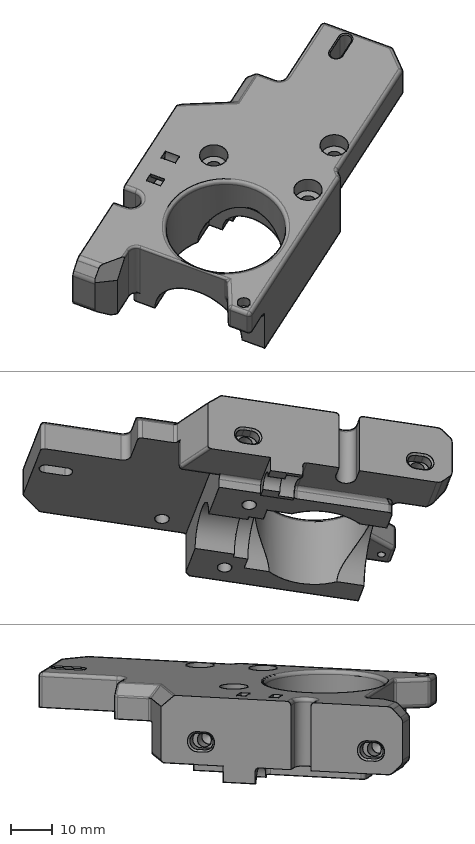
import cadquery as cq
import math

WIDTH = 45.0
LENGTH = 96.1
TOP = 20.5

PLATE_FLOOR = TOP - 8.5
WING_FLOOR = TOP - 7.4
WALL_FLOOR = TOP - 16.5
BLOCK_FLOOR = 0.6

WALL_WIDTH = 9.9
WALL_BACK_LEFT = 60.0
WALL_BACK_RIGHT = 65.5
SHELF_BACK = 74.6
TONGUE_LEFT = 19.4
TONGUE_RIGHT = 43.4
TONGUE_CORNER = 5.4
STEP_BACK = 55.2
STEP_FRONT = STEP_BACK - (WIDTH - TONGUE_RIGHT)
FRONT = 12.2
LEG_TIP_WIDTH = 5.9
LEG_CORNER = WALL_WIDTH - LEG_TIP_WIDTH
INNER_CORNER_RADIUS = 2.0

WING_FRONT = 4.4
WING_ROOT = 35.0
WING_TIP = 39.1

EDGE_RADIUS = 1.0
SMALL_EDGE_RADIUS = 0.6
LEG_CHAMFER = 3.0
REAR_CHAMFER = 2.9
REAR_CHAMFER_ANGLE = 45
VALLEY_RADIUS = 1.0
REAR_FOOT_RADIUS = 0.8
LEG_EDGE_RADIUS = 1.9
LEG_BEVEL_BACK_LEFT = 3.1
LEG_BEVEL_BACK_RIGHT = 8.3
LEG_BEVEL_ANGLE = 60

BLOCK_BACK = 54.8
BORE_X = 27.4
BORE_Y = 27.2
BORE_RADIUS = 14.2
SHAFT_BORES = [(11.5, 41.6), (8.0, 45.2), (6.9, BLOCK_BACK)]

ROD_TAB_FRONT = 36.6
ROD_TAB_BACK = 44.6
ROD_X = WALL_WIDTH / 2
ROD_RADIUS = 2.6
ROD_SEAT_RADIUS = 4.1
ROD_SEAT_DEPTH = 3.8

SCREW_CENTERS = [(14.9, 46.2), (39.9, 46.2), (39.3, 61.7)]
SCREW_RADIUS = 1.7
SCREW_HEAD_RADIUS = 3.4
SCREW_HEAD_DEPTH = 4.1
WING_HOLE_CENTER = (41.8, 7.3)
WING_HOLE_RADIUS = 1.0
WING_HOLE_HEAD_RADIUS = 1.5
WING_HOLE_HEAD_DEPTH = 2.9

SLOT_X = 26.9
SLOT_Y = 90.7
SLOT_LENGTH = 8.1
SLOT_WIDTH = 3.0
SLOT_CHAMFER = 0.3

NOTCH_Y = 25.3
NOTCH_RADIUS = 2.5
NOTCH_CENTER_X = 3.1

TIE_X = 3.9
TIE_WIDTH = 3.75
TIE_Y = 37.2
TIE_OUTER_RADIUS = 5.2
TIE_INNER_RADIUS = 2.9

SIDE_HOLE_YS = [7.9, 50.1]
SIDE_HOLE_Z = TOP - 11.0
SIDE_SLOT_LENGTH = 5.8
SIDE_SLOT_WIDTH = 3.9
SIDE_SLOT_DEPTH = 2.9
SIDE_SLOT_CHAMFER = 0.5
SIDE_HOLE_RADIUS = 1.7
SIDE_HOLE_DEPTH = 6.7
SIDE_HOLE_TIP = 1.0


def prism(points, bottom, top):
    """Extrude a closed outline between two heights."""
    return cq.Workplane("XY").workplane(offset=bottom).polyline(points).close().extrude(top - bottom)


def box(x0, x1, y0, y1, z0, z1):
    """Box between the given limits."""
    return cq.Workplane("XY").box(x1 - x0, y1 - y0, z1 - z0, centered=False).translate((x0, y0, z0))


def vertical_cylinder(x, y, radius, bottom, top):
    solid = cq.Solid.makeCylinder(radius, top - bottom, cq.Vector(x, y, bottom), cq.Vector(0, 0, 1))
    return cq.Workplane(solid)


def lengthwise_cylinder(x, z, radius, front, back):
    solid = cq.Solid.makeCylinder(radius, back - front, cq.Vector(x, front, z), cq.Vector(0, 1, 0))
    return cq.Workplane(solid)


def near(*points):
    """Select the edges whose middles lie closest to the given points."""
    selector = cq.selectors.NearestToPointSelector(points[0])
    for point in points[1:]:
        selector = selector + cq.selectors.NearestToPointSelector(point)
    return selector


def above_slope(start, end, angle):
    """Wedge above a plane that falls away to the right of a line on the top face."""
    reach = 19.2
    overrun = 28.8
    along_x = end[0] - start[0]
    along_y = end[1] - start[1]
    plane = cq.Plane(
        origin=(end[0], end[1], TOP),
        xDir=(along_y, -along_x, 0),
        normal=(-along_x, -along_y, 0),
    )
    drop = reach * math.tan(math.radians(angle))
    corners = [(0, 0), (reach, -drop), (reach, 1), (0, 1)]
    profile = cq.Workplane(plane).workplane(offset=-overrun)
    return profile.polyline(corners).close().extrude(math.hypot(along_x, along_y) + 2 * overrun)




def plate_outline(bottom):
    """Outline of the plate without leg and wing, extruded from a height to the top."""
    outline = [
        (0, FRONT),
        (WIDTH, FRONT),
        (WIDTH, STEP_FRONT),
        (TONGUE_RIGHT, STEP_BACK),
        (TONGUE_RIGHT, LENGTH - TONGUE_CORNER),
        (TONGUE_RIGHT - TONGUE_CORNER, LENGTH),
        (TONGUE_LEFT, LENGTH),
        (TONGUE_LEFT, SHELF_BACK),
        (WALL_WIDTH, SHELF_BACK),
        (WALL_WIDTH, WALL_BACK_RIGHT),
        (0, WALL_BACK_LEFT),
    ]
    middle = (bottom + TOP) / 2
    shelf_corner = near((TONGUE_LEFT, SHELF_BACK, middle))
    rounded_corners = near(*[(x, y, middle) for x, y in outline[2:7] + outline[8:9]])
    plate = prism(outline, bottom, TOP)
    plate = plate.edges(shelf_corner).fillet(INNER_CORNER_RADIUS)
    return plate.edges(rounded_corners).fillet(EDGE_RADIUS)


def left_wall():
    """Deep wall along the left face, with the leg at its front end."""
    outline = [
        (0, 0),
        (LEG_TIP_WIDTH, 0),
        (WALL_WIDTH, LEG_CORNER),
        (WALL_WIDTH, WALL_BACK_RIGHT),
        (0, WALL_BACK_LEFT),
    ]
    wall = prism(outline, WALL_FLOOR, TOP)
    back_corner = near((WALL_WIDTH, WALL_BACK_RIGHT, (WALL_FLOOR + TOP) / 2))
    return wall.edges(back_corner).fillet(EDGE_RADIUS)


def motor_block():
    """Deep block around the large bore, following the plate on its right side."""
    block = box(WALL_WIDTH, WIDTH, FRONT, BLOCK_BACK, BLOCK_FLOOR, TOP)
    return block.intersect(plate_outline(BLOCK_FLOOR))


def wing():
    """Thin ear at the front right."""
    outline = [(WING_ROOT, FRONT), (WING_TIP, WING_FRONT), (WIDTH, WING_FRONT), (WIDTH, FRONT)]
    return prism(outline, WING_FLOOR, TOP)


def round_upper_edges(body):
    """Round the leg's inner corner, the wing and the rim of the top face."""
    middle = (WING_FLOOR + TOP) / 2
    wing_middle_x = (WING_TIP + WIDTH) / 2
    leg_corner = near((WALL_WIDTH, FRONT, middle))
    wing_corners = near((WING_TIP, WING_FRONT, middle), (WIDTH, WING_FRONT, middle))
    wing_bottom = near((wing_middle_x, WING_FRONT, WING_FLOOR))
    wing_root = near((WING_ROOT, FRONT, middle), (wing_middle_x, FRONT, WING_FLOOR))
    front_rim = near((BORE_X, FRONT, TOP))
    back_rim = near(((TONGUE_LEFT + TONGUE_RIGHT) / 2, LENGTH, TOP))

    body = body.edges(leg_corner).fillet(INNER_CORNER_RADIUS)
    body = body.edges(wing_corners).fillet(EDGE_RADIUS)
    body = body.edges(wing_bottom).fillet(EDGE_RADIUS)
    body = body.edges(front_rim).fillet(SMALL_EDGE_RADIUS)
    body = body.edges(back_rim).fillet(EDGE_RADIUS)
    return body.edges(wing_root).fillet(EDGE_RADIUS)


def chamfer_rear(body):
    """Slope the top of the wall's slanted end and of the shelf behind it, with a rounded valley."""
    rise = WALL_BACK_RIGHT - WALL_BACK_LEFT
    shift = REAR_CHAMFER * math.hypot(WALL_WIDTH, rise) / WALL_WIDTH
    shelf_x = WALL_WIDTH + REAR_CHAMFER
    corner_y = WALL_BACK_RIGHT - shift + REAR_CHAMFER * rise / WALL_WIDTH
    wall_slope = above_slope(
        (WALL_WIDTH, WALL_BACK_RIGHT - shift),
        (0, WALL_BACK_LEFT - shift),
        REAR_CHAMFER_ANGLE,
    )
    shelf_slope = above_slope((shelf_x, SHELF_BACK), (shelf_x, WALL_BACK_RIGHT), REAR_CHAMFER_ANGLE)
    body = body.cut(wall_slope.intersect(shelf_slope))
    valley = near(
        (WALL_WIDTH, WALL_BACK_RIGHT, (PLATE_FLOOR + TOP - REAR_CHAMFER) / 2),
        ((WALL_WIDTH + shelf_x) / 2, (WALL_BACK_RIGHT + corner_y) / 2, TOP - REAR_CHAMFER / 2),
    )
    crests = near(
        (shelf_x, (corner_y + SHELF_BACK) / 2, TOP),
        (shelf_x / 2, (WALL_BACK_LEFT - shift + corner_y) / 2, TOP),
    )
    body = body.edges(crests).fillet(SMALL_EDGE_RADIUS)
    return body.edges(valley).fillet(VALLEY_RADIUS)


def shape_leg(body):
    """Chamfer and round the leg's nose, then bevel the top of its slanted corner."""
    nose = box(0, WALL_WIDTH, 0, LENGTH, WALL_FLOOR, TOP)
    nose = nose.edges("<Y and |X").chamfer(LEG_CHAMFER)
    bends = near(
        (ROD_X, 0, TOP - LEG_CHAMFER),
        (ROD_X, LEG_CHAMFER, TOP),
        (ROD_X, 0, WALL_FLOOR + LEG_CHAMFER),
        (ROD_X, LEG_CHAMFER, WALL_FLOOR),
    )
    nose = nose.edges(bends).fillet(LEG_EDGE_RADIUS)
    leg_space = box(0, WALL_WIDTH, 0, LEG_BEVEL_BACK_RIGHT, WALL_FLOOR, TOP)
    bevel = above_slope(
        (LEG_TIP_WIDTH, LEG_BEVEL_BACK_LEFT),
        (WALL_WIDTH, LEG_BEVEL_BACK_RIGHT),
        LEG_BEVEL_ANGLE,
    )
    return body.cut(leg_space.cut(nose)).cut(bevel.intersect(leg_space))


def add_rod_tab(body):
    """Add the tab below the wall and round the edges around the underside."""
    body = body.union(box(0, WALL_WIDTH, ROD_TAB_FRONT, ROD_TAB_BACK, 0, WALL_FLOOR))
    block_middle = (BLOCK_FLOOR + WALL_FLOOR) / 2
    inner_front_edges = near(
        (WALL_WIDTH, ROD_TAB_FRONT, block_middle),
        (WALL_WIDTH, (FRONT + ROD_TAB_FRONT) / 2, WALL_FLOOR),
        (ROD_X, ROD_TAB_FRONT, WALL_FLOOR),
    )
    inner_back_edge = near((WALL_WIDTH, (ROD_TAB_BACK + BLOCK_BACK) / 2, WALL_FLOOR))
    block_corner = near((WALL_WIDTH, FRONT, block_middle))
    wall_end = near((ROD_X, (WALL_BACK_LEFT + WALL_BACK_RIGHT) / 2, WALL_FLOOR))
    body = body.edges(inner_front_edges).fillet(EDGE_RADIUS)
    body = body.edges(inner_back_edge).fillet(EDGE_RADIUS)
    body = body.edges(block_corner).fillet(EDGE_RADIUS)
    return body.edges(wall_end).fillet(REAR_FOOT_RADIUS)




def large_bore():
    """Vertical bore with a rounded rim at the top."""
    rim_radius = BORE_RADIUS + EDGE_RADIUS
    rim_bottom = TOP - EDGE_RADIUS
    bend = EDGE_RADIUS * math.sqrt(0.5)
    profile = (
        cq.Workplane("XZ")
        .lineTo(BORE_RADIUS, 0)
        .lineTo(BORE_RADIUS, rim_bottom)
        .threePointArc((rim_radius - bend, rim_bottom + bend), (rim_radius, TOP))
        .lineTo(0, TOP)
        .close()
    )
    return profile.revolve(360, (0, 0), (0, 1)).translate((BORE_X, BORE_Y, 0))


def shaft_bores():
    """Stepped half bores on the underside of the block, narrowing toward the back."""
    cutter = cq.Workplane()
    for radius, back in SHAFT_BORES:
        cutter = cutter.add(lengthwise_cylinder(BORE_X, BLOCK_FLOOR, radius, WING_FRONT, back))
    return cutter.combine()


def rod_bore():
    """Half bore through the tab with a wider seat at its front."""
    front = ROD_TAB_FRONT - EDGE_RADIUS
    bore = lengthwise_cylinder(ROD_X, 0, ROD_RADIUS, front, ROD_TAB_BACK)
    seat = lengthwise_cylinder(ROD_X, 0, ROD_SEAT_RADIUS, front, ROD_TAB_FRONT + ROD_SEAT_DEPTH)
    return bore.union(seat)


def counterbored_hole(center, radius, head_radius, head_depth):
    hole = vertical_cylinder(*center, radius, 0, TOP)
    head = vertical_cylinder(*center, head_radius, TOP - head_depth, TOP)
    return hole.union(head)


def tongue_slot():
    """Through slot along Y with a chamfered rim."""
    top_face = cq.Workplane("XY").workplane(offset=TOP).center(SLOT_X, SLOT_Y)
    slot = top_face.slot2D(SLOT_LENGTH, SLOT_WIDTH, 90).extrude(PLATE_FLOOR - TOP)
    rim_length = SLOT_LENGTH + 2 * SLOT_CHAMFER
    rim_width = SLOT_WIDTH + 2 * SLOT_CHAMFER
    rim = top_face.slot2D(rim_length, rim_width, 90).extrude(-SLOT_CHAMFER, taper=45)
    return slot.union(rim)


def cut_notch(body):
    """Cut the upright notch in the left face and round its top rim."""
    straight = box(0, NOTCH_CENTER_X, NOTCH_Y - NOTCH_RADIUS, NOTCH_Y + NOTCH_RADIUS, 0, TOP)
    end = vertical_cylinder(NOTCH_CENTER_X, NOTCH_Y, NOTCH_RADIUS, 0, TOP)
    body = body.cut(straight.union(end))
    rim = near((NOTCH_CENTER_X + NOTCH_RADIUS, NOTCH_Y, TOP))
    return body.edges(rim).fillet(EDGE_RADIUS)


def cable_tie_passage():
    """Half ring that dips below the top face and comes up again."""
    plane = cq.Plane(origin=(TIE_X, TIE_Y, TOP), xDir=(0, 1, 0), normal=(1, 0, 0))
    return cq.Workplane(plane).circle(TIE_OUTER_RADIUS).circle(TIE_INNER_RADIUS).extrude(TIE_WIDTH)


def side_hole(y):
    """Chamfered oblong recess with a conical-ended round hole in its floor."""
    plane = cq.Plane(origin=(0, y, SIDE_HOLE_Z), xDir=(0, 1, 0), normal=(1, 0, 0))
    face = cq.Workplane(plane)
    rim_length = SIDE_SLOT_LENGTH + 2 * SIDE_SLOT_CHAMFER
    rim_width = SIDE_SLOT_WIDTH + 2 * SIDE_SLOT_CHAMFER
    rim = face.slot2D(rim_length, rim_width).extrude(SIDE_SLOT_CHAMFER, taper=45)
    recess = face.slot2D(SIDE_SLOT_LENGTH, SIDE_SLOT_WIDTH).extrude(SIDE_SLOT_DEPTH)
    hole = face.circle(SIDE_HOLE_RADIUS).extrude(SIDE_HOLE_DEPTH)
    tip_start = cq.Vector(SIDE_HOLE_DEPTH, y, SIDE_HOLE_Z)
    tip = cq.Solid.makeCone(SIDE_HOLE_RADIUS, 0, SIDE_HOLE_TIP, tip_start, cq.Vector(1, 0, 0))
    return rim.union(recess).union(hole).union(cq.Workplane(tip))



result = plate_outline(PLATE_FLOOR).union(left_wall()).union(motor_block()).union(wing()).clean()
result = round_upper_edges(result)
result = chamfer_rear(result)
result = shape_leg(result)
result = add_rod_tab(result)
result = result.cut(large_bore())
result = result.cut(shaft_bores())
result = result.cut(rod_bore())
for screw_center in SCREW_CENTERS:
    result = result.cut(counterbored_hole(screw_center, SCREW_RADIUS, SCREW_HEAD_RADIUS, SCREW_HEAD_DEPTH))
result = result.cut(
    counterbored_hole(WING_HOLE_CENTER, WING_HOLE_RADIUS, WING_HOLE_HEAD_RADIUS, WING_HOLE_HEAD_DEPTH)
)
result = result.cut(tongue_slot())
result = cut_notch(result)
result = result.cut(cable_tie_passage())
for hole_y in SIDE_HOLE_YS:
    result = result.cut(side_hole(hole_y))